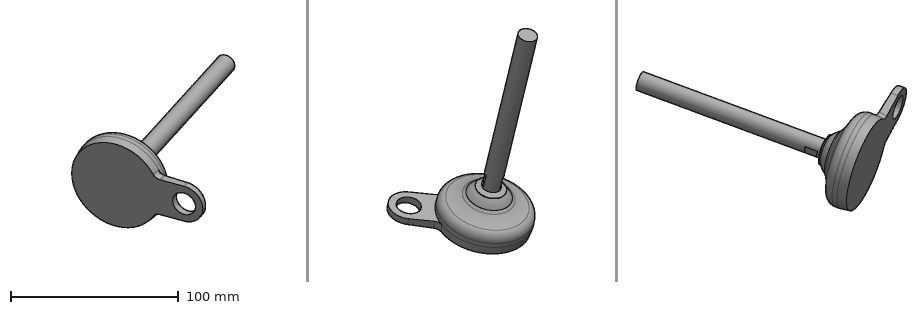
import cadquery as cq
import math

TOTAL_LENGTH = 148.0
TOTAL_WIDTH = 88.0

FOOT_DIAMETER = 60.0
FOOT_RADIUS = FOOT_DIAMETER / 2
UNDERSIDE_RADIUS = 29.2
RIM_BOTTOM_Y = 5.9
RIM_TOP_Y = 9.0
SHOULDER_RADIUS = 6.7
SHOULDER_END_Y = 15.4
NECK_BOTTOM_RADIUS = 16.0
NECK_BOTTOM_Y = 19.8
NECK_TOP_Y = 21.3

LUG_RADIUS = 12.5
LUG_REACH = TOTAL_WIDTH - FOOT_RADIUS
LUG_HOLE_DIAMETER = 15.1
LUG_ROOT_FILLET = 5.0
LUG_ROOT_HEIGHT = 5.5
LUG_TIP_HEIGHT = 4.0
LUG_CENTRE_X = LUG_REACH - LUG_RADIUS
ROOT_SEARCH_MARGIN = 1.5

STEM_DIAMETER = 12.0
STEM_RADIUS = STEM_DIAMETER / 2
BALL_RADIUS = 16.6
BALL_CENTRE_Y = 12.6
COLLAR_RADIUS = 9.6
COLLAR_BOTTOM_Y = 26.3
COLLAR_EDGE_Y = 27.1
COLLAR_TOP_Y = 28.4
FLATS_WIDTH = 10.0
FLATS_BOTTOM_Y = 29.9
FLATS_TOP_Y = 37.9


def ball_radius_at(y):
    """Radius of the ball's circular section at height y."""
    return math.sqrt(BALL_RADIUS**2 - (y - BALL_CENTRE_Y) ** 2)


def revolve_about_y(profile):
    return profile.close().revolve(360, (0, 0, 0), (0, 1, 0))


def extrude_up(outline, height):
    """Extrude an XZ outline from Y = 0 towards +Y."""
    return outline.extrude(-height)


def make_pad():
    shoulder_angle = math.asin((SHOULDER_END_Y - RIM_TOP_Y) / SHOULDER_RADIUS)
    shoulder_end_radius = FOOT_RADIUS - SHOULDER_RADIUS * (1 - math.cos(shoulder_angle))
    profile = (
        cq.Workplane("XY")
        .lineTo(UNDERSIDE_RADIUS, 0)
        .lineTo(FOOT_RADIUS, RIM_BOTTOM_Y)
        .lineTo(FOOT_RADIUS, RIM_TOP_Y)
        .tangentArcPoint((shoulder_end_radius, SHOULDER_END_Y), relative=False)
        .tangentArcPoint((NECK_BOTTOM_RADIUS, NECK_BOTTOM_Y), relative=False)
        .lineTo(ball_radius_at(NECK_TOP_Y), NECK_TOP_Y)
        .lineTo(0, NECK_TOP_Y)
    )
    return revolve_about_y(profile)


def make_lug():
    """Lug joined to the tapered lower rim by root fillets, then sloped on top."""
    rim = revolve_about_y(
        cq.Workplane("XY")
        .lineTo(UNDERSIDE_RADIUS, 0)
        .lineTo(FOOT_RADIUS, RIM_BOTTOM_Y)
        .lineTo(0, RIM_BOTTOM_Y)
    )
    plate = extrude_up(
        cq.Workplane("XZ")
        .moveTo(0, -LUG_RADIUS)
        .lineTo(LUG_CENTRE_X, -LUG_RADIUS)
        .threePointArc((LUG_REACH, 0), (LUG_CENTRE_X, LUG_RADIUS))
        .lineTo(0, LUG_RADIUS)
        .close(),
        RIM_BOTTOM_Y,
    )
    root_x = math.sqrt(FOOT_RADIUS**2 - LUG_RADIUS**2)
    root_edges = cq.selectors.BoxSelector(
        (root_x - ROOT_SEARCH_MARGIN, 0, -LUG_RADIUS - ROOT_SEARCH_MARGIN),
        (root_x + ROOT_SEARCH_MARGIN, RIM_BOTTOM_Y, LUG_RADIUS + ROOT_SEARCH_MARGIN),
    )
    lug = rim.union(plate).edges(root_edges).edges("not #Y").fillet(LUG_ROOT_FILLET)

    slope = (LUG_ROOT_HEIGHT - LUG_TIP_HEIGHT) / (LUG_REACH - FOOT_RADIUS)
    above_slope = (
        cq.Workplane("XY")
        .moveTo(0, LUG_ROOT_HEIGHT + slope * FOOT_RADIUS)
        .lineTo(LUG_REACH, LUG_TIP_HEIGHT)
        .lineTo(LUG_REACH, TOTAL_LENGTH)
        .lineTo(0, TOTAL_LENGTH)
        .close()
        .extrude(FOOT_RADIUS, both=True)
    )
    hole = extrude_up(
        cq.Workplane("XZ").center(LUG_CENTRE_X, 0).circle(LUG_HOLE_DIAMETER / 2),
        RIM_BOTTOM_Y,
    )
    return lug.cut(above_slope).cut(hole)


def make_foot():
    return make_pad().union(make_lug())


def make_spindle():
    """Stem with a collar and a ball segment that rests on the foot's neck."""
    middle_y = (NECK_TOP_Y + COLLAR_BOTTOM_Y) / 2
    profile = (
        cq.Workplane("XY")
        .moveTo(0, NECK_TOP_Y)
        .lineTo(ball_radius_at(NECK_TOP_Y), NECK_TOP_Y)
        .threePointArc(
            (ball_radius_at(middle_y), middle_y),
            (ball_radius_at(COLLAR_BOTTOM_Y), COLLAR_BOTTOM_Y),
        )
        .lineTo(COLLAR_RADIUS, COLLAR_EDGE_Y)
        .lineTo(STEM_RADIUS, COLLAR_TOP_Y)
        .lineTo(STEM_RADIUS, TOTAL_LENGTH)
        .lineTo(0, TOTAL_LENGTH)
    )
    spindle = revolve_about_y(profile)

    flats_length = FLATS_TOP_Y - FLATS_BOTTOM_Y
    for side in (-1, 1):
        cutter = cq.Workplane("XY").box(STEM_RADIUS, flats_length, 2 * STEM_RADIUS)
        cutter_x = side * (FLATS_WIDTH + STEM_RADIUS) / 2
        spindle = spindle.cut(cutter.translate((cutter_x, FLATS_BOTTOM_Y + flats_length / 2, 0)))
    return spindle


foot = make_foot()
spindle = make_spindle()
result = cq.Compound.makeCompound([foot.solids().val(), spindle.solids().val()])